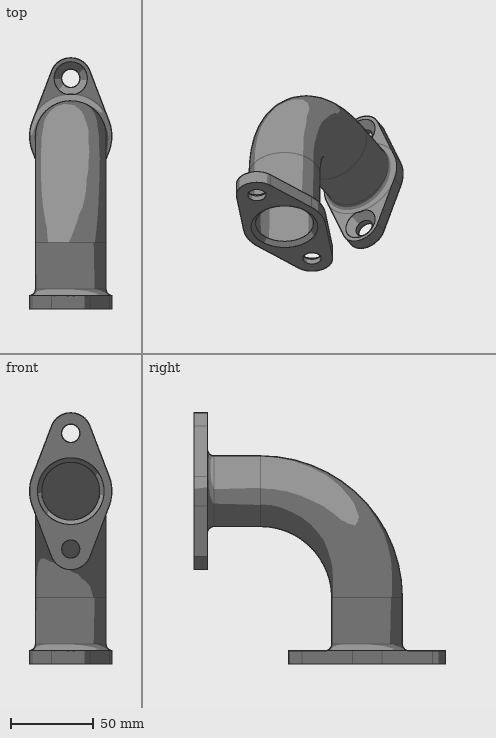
import cadquery as cq
import math

overall_size = 152.5
flange_width = 50.0
flange_thickness = 8.2
flange_end_radius = 12.5
bolt_offset = 35.0
bolt_hole_diameter = 11.0
countersink_diameter = 20.1
countersink_angle = 90.0
pipe_outer_diameter = 43.0
pipe_bore_diameter = 35.0
mouth_diameter = 40.4
root_fillet_radius = 4.0
bend_radius = 64.5

flange_radius = flange_width / 2
pipe_radius = pipe_outer_diameter / 2
leg_reach = overall_size - bolt_offset - flange_end_radius
straight_length = leg_reach - bend_radius
mouth_chamfer = (mouth_diameter - pipe_bore_diameter) / 2


def flange_plate(height):
    """Plate outlined by the tangents around a centre circle and two end circles."""
    tangent_sine = (flange_radius - flange_end_radius) / bolt_offset
    tangent_cosine = math.sqrt(1 - tangent_sine**2)
    side_x = flange_radius * tangent_cosine
    side_y = flange_radius * tangent_sine
    end_x = flange_end_radius * tangent_cosine
    end_y = bolt_offset + flange_end_radius * tangent_sine
    tip_y = bolt_offset + flange_end_radius
    return (
        cq.Workplane("XY")
        .moveTo(side_x, -side_y)
        .threePointArc((flange_radius, 0), (side_x, side_y))
        .lineTo(end_x, end_y)
        .threePointArc((0, tip_y), (-end_x, end_y))
        .lineTo(-side_x, side_y)
        .threePointArc((-flange_radius, 0), (-side_x, -side_y))
        .lineTo(-end_x, -end_y)
        .threePointArc((0, -tip_y), (end_x, -end_y))
        .close()
        .extrude(height)
    )


def root_collar():
    """Solid of revolution whose concave flank blends the pipe into the flange."""
    collar_radius = pipe_radius + root_fillet_radius
    collar_top = flange_thickness + root_fillet_radius
    arc_offset = root_fillet_radius * math.sqrt(0.5)
    return (
        cq.Workplane("XZ")
        .lineTo(collar_radius, 0)
        .lineTo(collar_radius, flange_thickness)
        .threePointArc((collar_radius - arc_offset, collar_top - arc_offset), (pipe_radius, collar_top))
        .lineTo(0, collar_top)
        .close()
        .revolve(360, (0, 0), (0, 1))
    )


def flange():
    """Flange with its sealing face on XY and countersinks on the pipe side."""
    collar = root_collar().intersect(flange_plate(flange_thickness + root_fillet_radius))
    return (
        flange_plate(flange_thickness)
        .faces(">Z")
        .workplane(origin=(0, 0, flange_thickness))
        .pushPoints([(0, -bolt_offset), (0, bolt_offset)])
        .cskHole(bolt_hole_diameter, countersink_diameter, countersink_angle)
        .union(collar)
    )


def mouth_cutter():
    """Cone that chamfers the bore at the sealing face."""
    return cq.Workplane("XY").circle(mouth_diameter / 2).workplane(offset=mouth_chamfer).circle(
        pipe_bore_diameter / 2
    ).loft(ruled=True)


def elbow(diameter):
    """Round bar along the pipe centreline: straight, quarter bend, straight."""
    mid_offset = bend_radius * math.sqrt(0.5)
    path = (
        cq.Workplane("YZ")
        .lineTo(0, straight_length)
        .threePointArc(
            (mid_offset - bend_radius, straight_length + mid_offset),
            (-bend_radius, leg_reach),
        )
        .lineTo(-leg_reach, leg_reach)
    )
    return cq.Workplane("XY").circle(diameter / 2).sweep(path)


def at_front_end(shape):
    """Move a shape from the bottom pipe end to the front pipe end."""
    return shape.rotate((0, 0, 0), (1, 0, 0), -90).translate((0, -leg_reach, leg_reach))


body = elbow(pipe_outer_diameter).union(flange()).union(at_front_end(flange()))
bore = elbow(pipe_bore_diameter)
result = body.cut(bore).cut(mouth_cutter()).cut(at_front_end(mouth_cutter()))